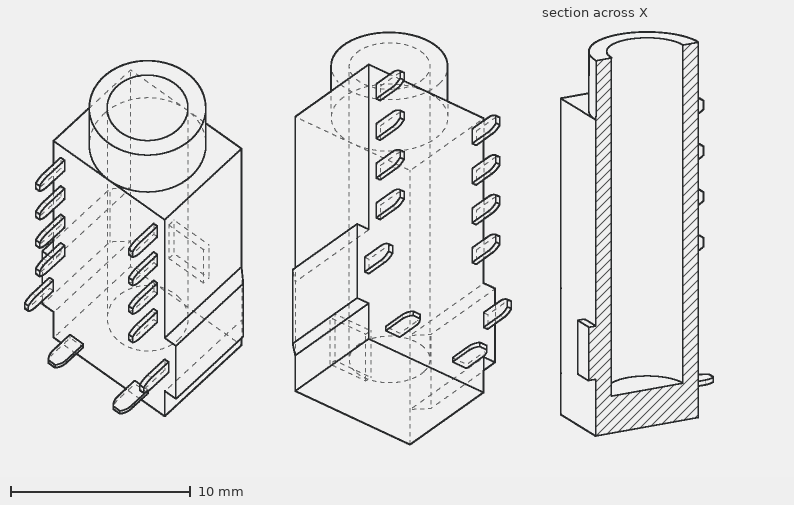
import cadquery as cq

total_height = 22.2
body_width = 8.24
body_depth = 6.5

sleeve_height = 3.5
sleeve_diameter = body_depth
bore_diameter = 4.5
bore_depth = 19.98

flange_width = 9.9
flange_height = 5.05
flange_bottom = 2.42
flange_chamfer_depth = 0.8

tab_width = 2.58
tab_height = 3.17
tab_thickness = 0.45

pin_length = 2.1
pin_width = 1.0
pin_thickness = 0.29
pin_tip_length = 0.67
pin_tip_width = 0.5

contact_pin_x = 3.45
contact_pin_bottom_z = 9.0
contact_pin_span = 8.1
contact_pin_rows = 4
flange_pin_x = 4.26
base_pin_x = 2.4
base_pin_z = 1.25

body_height = total_height - sleeve_height
flange_mid_z = flange_bottom + flange_height / 2
contact_pin_pitch = contact_pin_span / (contact_pin_rows - 1)


def make_body():
    """Rectangular housing standing on its base."""
    return cq.Workplane("XY").box(body_width, body_depth, body_height, centered=(True, False, False))


def make_flange():
    """Wider band around the lower housing, its two rear corners cut back to the housing sides."""
    side = flange_width / 2
    rear = body_width / 2
    shoulder = body_depth - flange_chamfer_depth
    outline = [
        (-side, 0),
        (side, 0),
        (side, shoulder),
        (rear, body_depth),
        (-rear, body_depth),
        (-side, shoulder),
    ]
    return cq.Workplane("XY").workplane(offset=flange_bottom).polyline(outline).close().extrude(flange_height)


def make_tab():
    """Thin plate on the rear face, level with the middle of the flange."""
    plate = cq.Workplane("XY").box(tab_width, tab_thickness, tab_height, centered=(True, False, True))
    return plate.translate((0, body_depth, flange_mid_z))


def make_sleeve():
    """Round plug entry on top of the housing."""
    return (
        cq.Workplane("XY")
        .workplane(offset=body_height)
        .center(0, body_depth / 2)
        .circle(sleeve_diameter / 2)
        .extrude(sleeve_height)
    )


def make_bore():
    """Blind plug hole, cut down through the sleeve into the housing."""
    return (
        cq.Workplane("XY")
        .workplane(offset=total_height)
        .center(0, body_depth / 2)
        .circle(bore_diameter / 2)
        .extrude(-bore_depth)
    )


def make_pin():
    """Flat pin pointing to -Y, its width along X, with a tip narrowed by two arcs."""
    half_width = pin_width / 2
    half_tip = pin_tip_width / 2
    straight_length = pin_length - pin_tip_length
    half_profile = (
        cq.Workplane("XY")
        .lineTo(half_width, 0)
        .lineTo(half_width, -straight_length)
        .tangentArcPoint((half_tip, -pin_length), relative=False)
        .lineTo(0, -pin_length)
    )
    return half_profile.mirrorY().extrude(pin_thickness / 2, both=True)


def place_pin_pair(part, pin, x, z):
    """Add the pin to both halves of the front face at height z."""
    for side in (-1, 1):
        part = part.union(pin.translate((side * x, 0, z)))
    return part


result = make_body().union(make_flange()).union(make_tab()).union(make_sleeve()).cut(make_bore())

flat_pin = make_pin()
upright_pin = flat_pin.rotate((0, 0, 0), (0, 1, 0), 90)

for row in range(contact_pin_rows):
    row_z = contact_pin_bottom_z + row * contact_pin_pitch
    result = place_pin_pair(result, upright_pin, contact_pin_x, row_z)
result = place_pin_pair(result, upright_pin, flange_pin_x, flange_mid_z)
result = place_pin_pair(result, flat_pin, base_pin_x, base_pin_z)